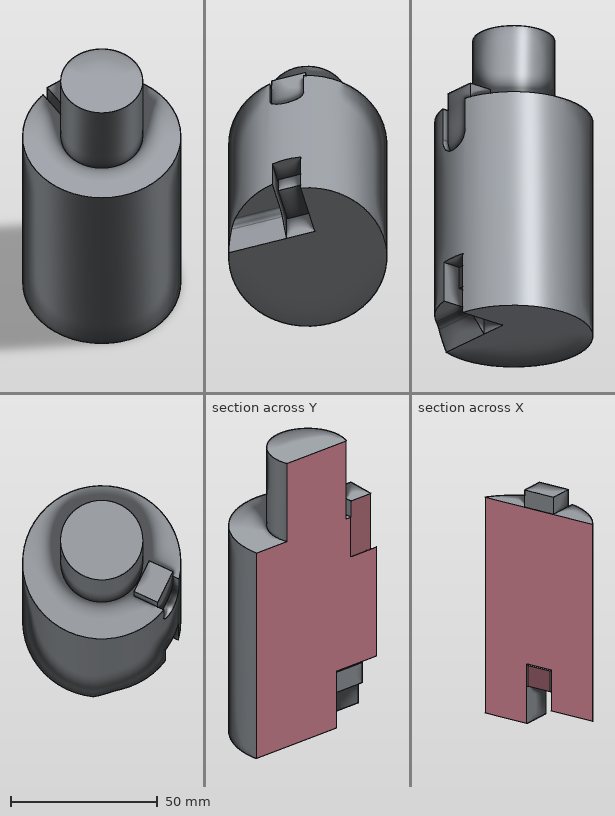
import cadquery as cq
import math

total_height = 109.0
housing_diameter = 54.0
housing_height = 79.0
shaft_diameter = 28.0

key_width = 12.0
key_outer_x = -24.0
key_inner_x = -15.0
key_bottom = 61.6
key_top = 85.2

slot_width = 10.0
slot_height = 21.8

relief_height = 7.5
relief_toe_x = -8.9
relief_slope_angle = 40.5
relief_fillet = 3.9

block_gap = 0.3
block_bottom = 13.7
block_outer_x = -20.3

housing_radius = housing_diameter / 2
cutter_outer_x = -housing_diameter
slot_floor_x = relief_toe_x
block_width = slot_width - 2 * block_gap
block_height = slot_height - block_gap - block_bottom


def box_along_x(x_start, x_end, width, z_start, height):
    """Box between two X positions, centred on Y = 0."""
    length = x_end - x_start
    return (
        cq.Workplane("XY")
        .box(length, width, height, centered=(False, True, False))
        .translate((x_start, 0, z_start))
    )


def round_bottom_key(x_start, x_end):
    """Upright key outline with a half-round lower end, extruded along X."""
    half_width = key_width / 2
    arc_height = key_bottom + half_width
    return (
        cq.Workplane("YZ", origin=(x_start, 0, 0))
        .moveTo(-half_width, key_top)
        .lineTo(-half_width, arc_height)
        .threePointArc((0, key_bottom), (half_width, arc_height))
        .lineTo(half_width, key_top)
        .close()
        .extrude(x_end - x_start)
    )


def relief_cutter():
    """Overhanging relief from the slot's centre plane out past the +Y side."""
    ceiling_x = relief_toe_x - relief_height * math.tan(math.radians(relief_slope_angle))
    return (
        cq.Workplane("XZ")
        .moveTo(cutter_outer_x, 0)
        .lineTo(relief_toe_x, 0)
        .lineTo(ceiling_x, relief_height)
        .lineTo(cutter_outer_x, relief_height)
        .close()
        .extrude(-housing_diameter)
        .edges(cq.selectors.NearestToPointSelector((ceiling_x, housing_radius, relief_height)))
        .fillet(relief_fillet)
    )


def make_housing():
    """Cylinder with its coaxial shaft, keyway, slot and relief."""
    housing = cq.Workplane("XY").circle(housing_radius).extrude(housing_height)
    shaft = cq.Workplane("XY").circle(shaft_diameter / 2).extrude(total_height)
    keyway = round_bottom_key(cutter_outer_x, key_inner_x)
    slot = box_along_x(cutter_outer_x, slot_floor_x, slot_width, 0, slot_height)
    return housing.union(shaft).cut(keyway).cut(slot).cut(relief_cutter())


def make_key():
    """Key seated against the inner end of the keyway."""
    return round_bottom_key(key_outer_x, key_inner_x)


def make_block():
    """Block standing on the slot floor, reaching toward -X."""
    return box_along_x(block_outer_x, slot_floor_x, block_width, block_bottom, block_height)


housing = make_housing()
key = make_key()
block = make_block()

result = cq.Compound.makeCompound([housing.solids().val(), key.val(), block.val()])